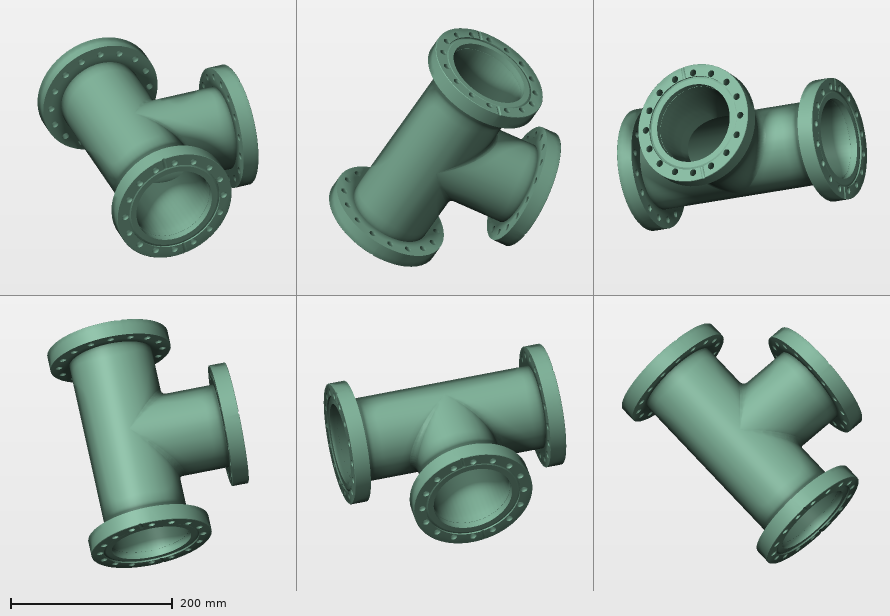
import cadquery as cq

run_length = 270.0
branch_reach = run_length / 2
flange_diameter = 152.0
flange_thickness = 20.0
rim_chamfer = 0.5

tube_diameter = 104.0
tube_bore = 100.0
crotch_radius = 7.0

socket_diameter = 104.2
lip_bore = 100.5
lip_thickness = 10.0

bolt_count = 16
bolt_circle_diameter = 130.5
bolt_hole_diameter = 8.6

seal_recess_diameter = 120.7
seal_recess_depth = 2.2
inner_face_diameter = 115.0
inner_face_depth = 1.0

leak_groove_radius = 3.0
leak_groove_depth = 1.0
leak_groove_angle = 360 / bolt_count / 2

tube_end = run_length / 2 - lip_thickness
branch_end = branch_reach - lip_thickness


def cylinder(diameter, start, length, direction):
    """Solid cylinder that starts at a point and runs along a direction."""
    plane = cq.Plane(origin=start, xDir=(0, 0, 1), normal=direction)
    return cq.Workplane(plane).circle(diameter / 2).extrude(length)


def run_cylinder(diameter):
    return cylinder(diameter, (-tube_end, 0, 0), 2 * tube_end, (1, 0, 0))


def branch_cylinder(diameter):
    return cylinder(diameter, (0, 0, 0), branch_end, (0, 1, 0))


def make_tee():
    """Hollow tube tee with a fillet that fades out where the two tubes run tangent."""
    outside = run_cylinder(tube_diameter).union(branch_cylinder(tube_diameter))
    outside = outside.edges("%ELLIPSE").fillet(crotch_radius)
    return outside.cut(run_cylinder(tube_bore)).cut(branch_cylinder(tube_bore))


def make_flange():
    """Flange with a sloped seal recess, its sealing face on Z = 0 and its back towards -Z."""
    profile = (
        cq.Workplane("XZ")
        .moveTo(lip_bore / 2, -inner_face_depth)
        .lineTo(inner_face_diameter / 2, -inner_face_depth)
        .lineTo(seal_recess_diameter / 2, -seal_recess_depth)
        .lineTo(seal_recess_diameter / 2, 0)
        .lineTo(flange_diameter / 2 - rim_chamfer, 0)
        .lineTo(flange_diameter / 2, -rim_chamfer)
        .lineTo(flange_diameter / 2, -flange_thickness)
        .lineTo(socket_diameter / 2, -flange_thickness)
        .lineTo(socket_diameter / 2, -lip_thickness)
        .lineTo(lip_bore / 2, -lip_thickness)
        .close()
    )
    flange = profile.revolve(360, (0, 0, 0), (0, 1, 0))
    return flange.cut(bolt_holes()).cut(leak_grooves())


def bolt_holes():
    """Cutter for the bolt holes right through the flange."""
    return (
        cq.Workplane("XY")
        .polarArray(bolt_circle_diameter / 2, 0, 360, bolt_count)
        .circle(bolt_hole_diameter / 2)
        .extrude(-flange_thickness)
    )


def leak_grooves():
    """Cutter for two opposite round-bottomed grooves from the seal recess to the rim."""
    seal_recess = cq.Workplane("XY").circle(seal_recess_diameter / 2).extrude(-seal_recess_depth)
    groove_line = (
        cq.Workplane("YZ", origin=(0, 0, leak_groove_radius - leak_groove_depth))
        .circle(leak_groove_radius)
        .extrude(flange_diameter, both=True)
        .rotate((0, 0, 0), (0, 0, 1), leak_groove_angle)
    )
    return groove_line.cut(seal_recess)


def flange_at(face_centre, outward):
    """Flange with its sealing face at a point, looking outward, first bolt hole at +Z."""
    place = cq.Plane(origin=face_centre, xDir=(0, 0, 1), normal=outward)
    return make_flange().solids().val().moved(cq.Location(place))


tee = make_tee()
flanges = [
    flange_at((-run_length / 2, 0, 0), (-1, 0, 0)),
    flange_at((run_length / 2, 0, 0), (1, 0, 0)),
    flange_at((0, branch_reach, 0), (0, 1, 0)),
]

result = cq.Compound.makeCompound([tee.solids().val(), *flanges])